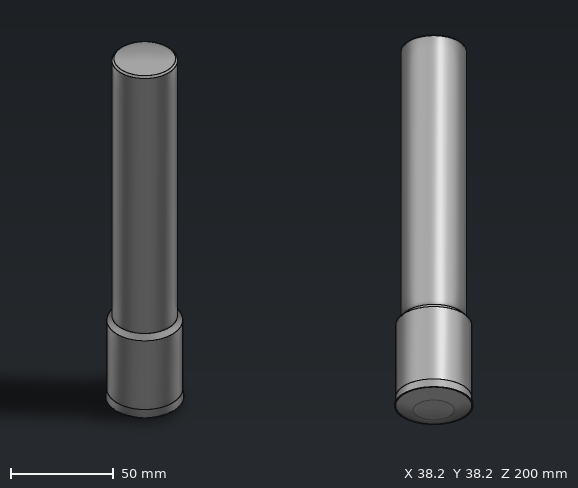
import cadquery as cq

total_length = 200.0

shank_radius = 16.0
top_chamfer = 1.0
collar_diameter = 37.0
collar_radius = collar_diameter / 2
collar_top = 47.2
shoulder_height = 2.5

rim_diameter = 38.2
rim_radius = rim_diameter / 2
rim_height = 2.5
flare_top = 7.0
bottom_face_radius = 10.0


def make_shank():
    """Turned shank whose collar rests on the floor of the tip's recess."""
    profile = (
        cq.Workplane("XZ")
        .moveTo(0, rim_height)
        .lineTo(collar_radius, rim_height)
        .lineTo(collar_radius, collar_top)
        .lineTo(shank_radius, collar_top + shoulder_height)
        .lineTo(shank_radius, total_length)
        .lineTo(0, total_length)
        .close()
    )
    return profile.revolve(360, (0, 0), (0, 1)).faces(">Z").chamfer(top_chamfer)


def make_tip():
    """Bevelled tip whose flared skirt thins to nothing against the collar."""
    profile = (
        cq.Workplane("XZ")
        .moveTo(0, 0)
        .lineTo(bottom_face_radius, 0)
        .lineTo(rim_radius, rim_height)
        .lineTo(collar_radius, flare_top)
        .lineTo(collar_radius, rim_height)
        .lineTo(0, rim_height)
        .close()
    )
    return profile.revolve(360, (0, 0), (0, 1))


shank = make_shank()
tip = make_tip()

result = cq.Compound.makeCompound([shank.val(), tip.val()])